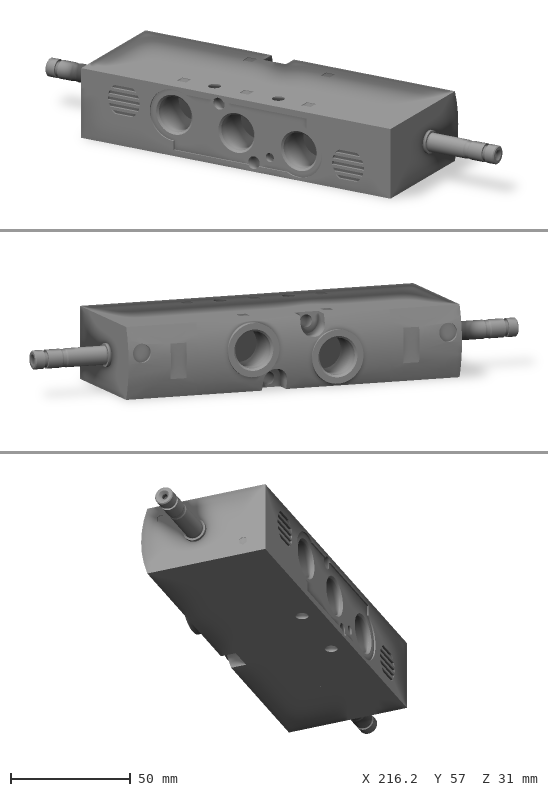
import cadquery as cq
import math


length = 216.2
height = 31.0
depth = 57.0
half_length = length / 2
half_height = height / 2
housing_half = 43.2
cap_end = 74.5
cap_length = cap_end - housing_half

dome_apex = 56.5
dome_edge = 53.6

port_pitch = 30.0
port_offset = 2.5
port_diameter = 15.8
port_mouth = 17.5
port_mouth_chamfer = (port_mouth - port_diameter) / 2
port_depth = 17.3
boss_diameter = 23.0
lobe_diameter = boss_diameter
back_port_x = 18.8

gasket_depth = 0.6
gasket_half_height = 12.8
gasket_left = -port_pitch
gasket_right = 34.2

mount_diameter = 5.5
cross_hole_x = 8.5
cross_hole_z = 11.57
slot_width = 10.8
slot_floor = 47.0
vertical_hole_x = 15.4
vertical_hole_y = 8.9
pilot_diameter = 3.9
pilot_x = 16.0
pilot_z = -8.0
pilot_depth = 4.3

mark_size = 4.3
mark_depth = 0.2
mark_front_y = vertical_hole_y
mark_back_y = 44.3

louvre_diameter = 15.4
louvre_x = 54.0
louvre_z = 4.5
louvre_pitch = 2.8
louvre_slot = 1.5
louvre_depth = 1.0
louvre_rows = 5
notch_width = 7.1
notch_x = 52.0
notch_depth = 0.6
dimple_diameter = 8.0
dimple_x = 68.5
dimple_z = 4.3
dimple_depth = 1.3

stem_y = 31.8
stem_radius = 8.0 / 2
flange_radius = 10.0 / 2
flange_length = 1.3
clip_groove_radius = 6.5 / 2
clip_groove_outer = 103.8
clip_groove_inner = 102.3
ring_centre = 94.7
ring_half_mouth = 1.3
ring_half_floor = 0.6
ring_depth = 0.2
tip_chamfer = 0.5
countersink_radius = 4.8 / 2
countersink_depth = 1.3
stem_bore_radius = 2.4 / 2
stem_bore_depth = 3.2

screw_places = [(47.5, 9.3), (10.2, -9.3)]
head_diameter = 8.0
head_length = 6.5
shank_diameter = 4.8
shank_engagement = 6.5
socket_flats = 3.2
socket_depth = 0.2


def block(x_start, x_length):
    """Extrude the domed cross-section along X."""
    return (
        cq.Workplane("YZ", origin=(x_start, 0, 0))
        .moveTo(0, -half_height)
        .lineTo(dome_edge, -half_height)
        .threePointArc((dome_apex, 0), (dome_edge, half_height))
        .lineTo(0, half_height)
        .close()
        .extrude(x_length)
    )


def rod_y(x, z, diameter, y_start, y_end):
    """Cylinder along Y between two Y positions."""
    return (
        cq.Workplane("XZ", origin=(x, y_start, z))
        .circle(diameter / 2)
        .extrude(y_start - y_end)
    )


def rod_x(y, z, diameter, x_start, x_length):
    """Cylinder along +X from x_start."""
    return (
        cq.Workplane("YZ", origin=(x_start, y, z))
        .circle(diameter / 2)
        .extrude(x_length)
    )


def port(x, z, face_y, inward):
    """Blind port with a chamfered mouth; inward is the Y sense of drilling."""
    radius = port_diameter / 2
    mouth_radius = port_mouth / 2
    return (
        cq.Workplane("XY", origin=(x, face_y, z))
        .moveTo(0, 0)
        .lineTo(mouth_radius, 0)
        .lineTo(radius, inward * port_mouth_chamfer)
        .lineTo(radius, inward * port_depth)
        .lineTo(0, inward * port_depth)
        .close()
        .revolve(360, (0, 0, 0), (0, 1, 0))
    )


def gasket_recess():
    """Rectangular recess with a round lobe about each outer port."""
    recess = (
        cq.Workplane("XY")
        .box(gasket_right - gasket_left, gasket_depth, 2 * gasket_half_height)
        .translate(((gasket_left + gasket_right) / 2, gasket_depth / 2, 0))
    )
    for side in (-1, 1):
        recess = recess.union(rod_y(side * port_pitch, -side * port_offset, lobe_diameter, 0, gasket_depth))
    return recess


def screw_slot(side):
    """Round-bottomed slot at the back of a cross hole, open to the nearer Z face."""
    x = -side * cross_hole_x
    z = side * cross_hole_z
    reach = half_height - cross_hole_z
    slot = rod_y(x, z, slot_width, slot_floor, depth)
    opening = (
        cq.Workplane("XY")
        .box(slot_width, depth - slot_floor, reach)
        .translate((x, (slot_floor + depth) / 2, side * (cross_hole_z + reach / 2)))
    )
    return slot.union(opening)


def cap_screw(y, z):
    """Socket-head screw whose head is flush with the -X end face."""
    shank_length = cap_length + shank_engagement
    screw = rod_x(y, z, head_diameter, -cap_end, head_length)
    return screw.union(rod_x(y, z, shank_diameter, -cap_end, shank_length))


def drive_socket(y, z):
    """Hexagonal key socket with corners pointing up and down."""
    across_corners = socket_flats / math.cos(math.pi / 6)
    return (
        cq.Workplane("YZ", origin=(-cap_end, y, z))
        .transformed(rotate=(0, 0, 90))
        .polygon(6, across_corners)
        .extrude(socket_depth)
    )


def make_housing():
    body = block(-housing_half, 2 * housing_half)

    for side in (-1, 1):
        body = body.union(rod_y(side * back_port_x, side * port_offset, boss_diameter, slot_floor, depth))

    body = body.cut(gasket_recess())
    for step in (-1, 0, 1):
        body = body.cut(port(step * port_pitch, -step * port_offset, gasket_depth, 1))
    body = body.cut(rod_y(pilot_x, pilot_z, pilot_diameter, 0, pilot_depth))

    for side in (-1, 1):
        body = body.cut(port(side * back_port_x, side * port_offset, depth, -1))
        body = body.cut(rod_y(-side * cross_hole_x, side * cross_hole_z, mount_diameter, 0, depth))
        body = body.cut(screw_slot(side))
        vertical_hole = (
            cq.Workplane("XY", origin=(side * vertical_hole_x, vertical_hole_y, -half_height))
            .circle(mount_diameter / 2)
            .extrude(height)
        )
        body = body.cut(vertical_hole)

    mark_places = [(step * port_pitch, mark_front_y) for step in (-1, 0, 1)]
    mark_places += [(side * back_port_x, mark_back_y) for side in (-1, 1)]
    marks = (
        cq.Workplane("XY", origin=(0, 0, half_height))
        .pushPoints(mark_places)
        .rect(mark_size, mark_size)
        .extrude(-mark_depth)
    )
    return body.cut(marks)


def louvre(side):
    """Row of horizontal slots trimmed to a circle."""
    x = side * louvre_x
    z = -side * louvre_z
    disc = rod_y(x, z, louvre_diameter, 0, louvre_depth)
    slots = (
        cq.Workplane("XZ", origin=(x, 0, z))
        .rarray(2.2, louvre_pitch, 1, louvre_rows)
        .rect(louvre_diameter, louvre_slot)
        .extrude(-louvre_depth)
    )
    return disc.intersect(slots)


def dome_notch(side):
    """Shallow flat notch running along Z over the crown of the dome."""
    return (
        cq.Workplane("XY")
        .box(notch_width, 2 * notch_depth, height)
        .translate((side * notch_x, dome_apex, 0))
    )


def make_cap(side):
    start = housing_half if side > 0 else -cap_end
    cap = block(start, cap_length)
    cap = cap.cut(louvre(side))
    cap = cap.cut(dome_notch(side))
    return cap.cut(rod_y(side * dimple_x, dimple_z, dimple_diameter, dome_apex - dimple_depth, depth))


def make_stem(side):
    """Turned stem seated on the cap's end face."""
    floor_radius = stem_radius - ring_depth
    bore_end = half_length - stem_bore_depth
    profile = [
        (cap_end, 0),
        (cap_end, flange_radius),
        (cap_end + flange_length, flange_radius),
        (cap_end + flange_length, stem_radius),
        (ring_centre - ring_half_mouth, stem_radius),
        (ring_centre - ring_half_floor, floor_radius),
        (ring_centre + ring_half_floor, floor_radius),
        (ring_centre + ring_half_mouth, stem_radius),
        (clip_groove_inner, stem_radius),
        (clip_groove_inner, clip_groove_radius),
        (clip_groove_outer, clip_groove_radius),
        (clip_groove_outer, stem_radius),
        (half_length - tip_chamfer, stem_radius),
        (half_length, stem_radius - tip_chamfer),
        (half_length, countersink_radius),
        (half_length - countersink_depth, stem_bore_radius),
        (bore_end, stem_bore_radius),
        (bore_end, 0),
    ]
    return (
        cq.Workplane("XY", origin=(0, stem_y, 0))
        .polyline([(side * x, radius) for x, radius in profile])
        .close()
        .revolve(360, (0, 0, 0), (1, 0, 0))
    )


housing = make_housing()
left_cap = make_cap(-1)
right_cap = make_cap(1)
stems = [make_stem(side) for side in (-1, 1)]

screws = []
for y, z in screw_places:
    screw = cap_screw(y, z)
    left_cap = left_cap.cut(screw)
    housing = housing.cut(screw)
    screws.append(screw.cut(drive_socket(y, z)))

bodies = [housing, left_cap, right_cap, *stems, *screws]
result = cq.Compound.makeCompound([body.val() for body in bodies])